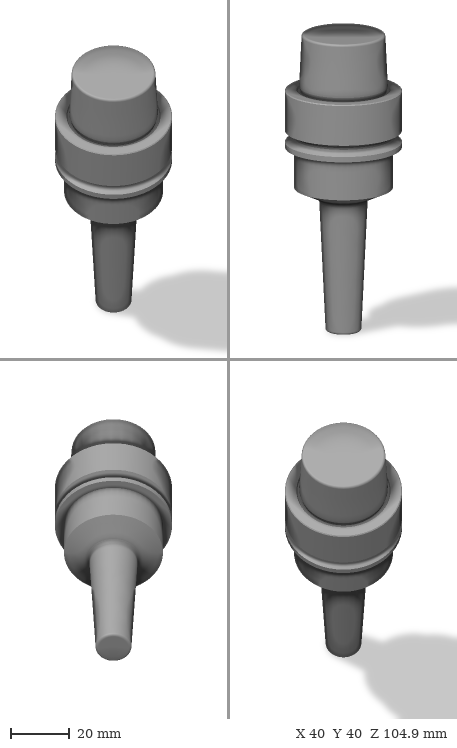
import cadquery as cq
import math

total_height = 104.9
flange_diameter = 40.0
flange_radius = flange_diameter / 2
flange_top = 85.2
flange_bottom = 64.9
flange_edge_chamfer = 0.3

shank_top_radius = 14.3
shank_bottom_radius = 15.1
shank_bottom = 87.1
shank_edge_radius = 0.8

relief_collar_height = 0.7
relief_neck_radius = 14.7
relief_outer_radius = 16.0
relief_floor_radius = 15.7
relief_depth = 0.6

groove_center = 68.9
groove_floor_radius = 17.1
groove_floor_half_width = 0.3
groove_wall_radius = 17.5
groove_wall_half_width = 0.8
groove_upper_edge = 70.8
groove_lower_edge = 66.8

body_radius = 16.9
body_bottom = 50.7
shoulder_angle = 25.0

stem_top_radius = 8.3
stem_tip_radius = 6.1
stem_tip_edge_radius = 0.9
stem_root_radius = 1.6
shoulder_bottom = body_bottom - (body_radius - stem_top_radius) * math.tan(math.radians(shoulder_angle))


def revolve_profile(points):
    """Revolve a closed (radius, height) outline about the Z axis."""
    return cq.Workplane("XZ").polyline(points).close().revolve(360, (0, 0), (0, 1))


def fillet_ring(solid, radius, height, fillet_radius):
    """Round the circular edge of the given radius and height."""
    tolerance = 0.05
    ring = cq.selectors.BoxSelector(
        (-radius - tolerance, -radius - tolerance, height - tolerance),
        (radius + tolerance, radius + tolerance, height + tolerance),
        boundingbox=True,
    )
    return solid.edges(ring).edges("%CIRCLE").fillet(fillet_radius)


shank_points = [
    (0, total_height),
    (shank_top_radius, total_height),
    (shank_bottom_radius, shank_bottom),
    (shank_bottom_radius, shank_bottom - relief_collar_height),
    (relief_neck_radius, flange_top),
    (relief_neck_radius, flange_top - relief_depth),
    (relief_floor_radius, flange_top - relief_depth),
    (relief_outer_radius, flange_top),
]
flange_points = [
    (flange_radius - flange_edge_chamfer, flange_top),
    (flange_radius, flange_top - flange_edge_chamfer),
    (flange_radius, groove_upper_edge),
    (groove_wall_radius, groove_center + groove_wall_half_width),
    (groove_floor_radius, groove_center + groove_floor_half_width),
    (groove_floor_radius, groove_center - groove_floor_half_width),
    (groove_wall_radius, groove_center - groove_wall_half_width),
    (flange_radius, groove_lower_edge),
    (flange_radius, flange_bottom),
]
body_and_stem_points = [
    (body_radius, flange_bottom),
    (body_radius, body_bottom),
    (stem_top_radius, shoulder_bottom),
    (stem_tip_radius, 0),
    (0, 0),
]

part = revolve_profile(shank_points + flange_points + body_and_stem_points)
part = fillet_ring(part, shank_top_radius, total_height, shank_edge_radius)
part = fillet_ring(part, stem_top_radius, shoulder_bottom, stem_root_radius)
part = fillet_ring(part, stem_tip_radius, 0, stem_tip_edge_radius)
result = part